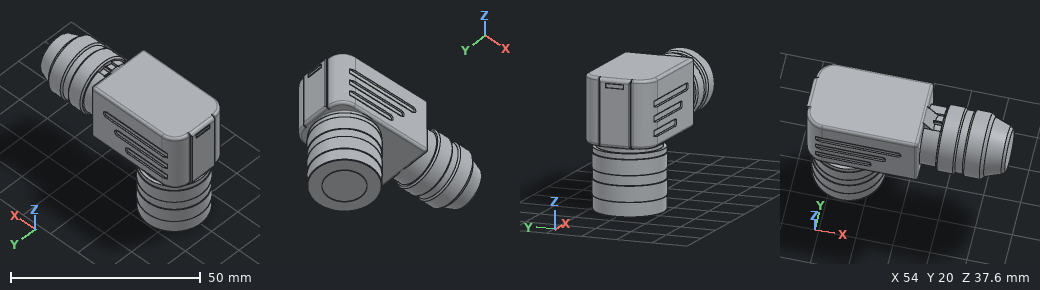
import cadquery as cq
import math


housing_width = 20.0
housing_height = 18.75
housing_left = -10.1
housing_right = 20.8
corner_radius = 5.0
edge_fillet = 0.8

panel_left = -10.65
panel_half_width = 4.55
panel_top_fillet = 1.1
panel_bevel_width = 0.4
panel_bevel_depth = 0.15
window_width = 5.1
window_height = 1.15
window_center_z = 16.75
window_depth = 0.2

side_grooves = [(12.0, 16.25), (7.95, 12.15), (4.0, 8.25)]
groove_start = -8.0
groove_width = 2.0
groove_depth = 0.3
groove_flank = 0.25

plug_neck_diameter = 17.7
plug_neck_bottom = -1.5
plug_neck_fillet = 0.5
plug_minor_diameter = 19.7
plug_major_diameter = 20.0
plug_rings = [
    (plug_minor_diameter, -2.95),
    (plug_major_diameter, -7.45),
    (plug_minor_diameter, -10.1),
    (plug_major_diameter, -14.7),
    (plug_minor_diameter, -18.7),
]
plug_ring_chamfer = (plug_major_diameter - plug_minor_diameter) / 2
plug_face_diameter = 11.9
plug_bottom = -18.85
plug_rim_chamfer = 0.15

gland_neck_radius = 8.05
gland_axis_z = gland_neck_radius
gland_radius = 18.0 / 2
gland_groove_radius = 17.0 / 2
gland_chamfer = gland_radius - gland_groove_radius
gland_start = 25.3
gland_groove_start = 30.0 + gland_chamfer
gland_groove_end = 32.5
gland_shoulder_start = 37.2
gland_cone_start = 38.2
gland_cone_end = 42.55
gland_end = 43.35
gland_cone_end_radius = 6.55
gland_end_radius = 5.8

channel_width = window_width
channel_floor_radius = 7.3
ramp_slope = math.radians(50)
rib_top_radius = 7.8
rib_base_width = 1.1
rib_top_width = 0.3


def centered_box(x_min, x_max, y_width, z_min, z_max):
    """Box given by its X and Z limits, centred on Y = 0."""
    size = (x_max - x_min, y_width, z_max - z_min)
    return cq.Workplane("XY").box(*size, centered=(False, True, False)).translate((x_min, 0, z_min))


def housing():
    block = centered_box(housing_left, housing_right, housing_width, 0, housing_height)
    block = block.edges("|Z and <X").fillet(corner_radius)
    block = block.edges("|Z and >X").fillet(edge_fillet)
    return block.faces("<Z or >Z").edges().fillet(edge_fillet)


def end_panel():
    inner_half_width = panel_half_width - panel_bevel_width
    bevel_x = panel_left + panel_bevel_depth
    outline = [
        (0, -panel_half_width),
        (bevel_x, -panel_half_width),
        (panel_left, -inner_half_width),
        (panel_left, inner_half_width),
        (bevel_x, panel_half_width),
        (0, panel_half_width),
    ]
    panel = cq.Workplane("XY").polyline(outline).close().extrude(housing_height)
    side_shape = centered_box(panel_left, 0, housing_width, 0, housing_height)
    side_shape = side_shape.edges("<X and >Z").fillet(panel_top_fillet)
    side_shape = side_shape.edges("<X and <Z").fillet(edge_fillet)
    window = centered_box(
        panel_left,
        panel_left + window_depth,
        window_width,
        window_center_z - window_height / 2,
        window_center_z + window_height / 2,
    )
    return panel.intersect(side_shape).cut(window)


def side_groove(center_z, right_end):
    """Groove in the -Y side wall, rounded at the right end, with sloping flanks."""
    radius = groove_width / 2
    outline = (
        cq.Workplane("XZ", origin=(0, -housing_width / 2, 0))
        .moveTo(groove_start, center_z - radius)
        .lineTo(right_end - radius, center_z - radius)
        .threePointArc((right_end, center_z), (right_end - radius, center_z + radius))
        .lineTo(groove_start, center_z + radius)
        .close()
    )
    flank_angle = math.degrees(math.atan2(groove_flank, groove_depth))
    return outline.extrude(-groove_depth, taper=flank_angle)


def plug():
    neck_radius = plug_neck_diameter / 2
    arc_offset = plug_neck_fillet * (1 - math.sqrt(0.5))
    profile = (
        cq.Workplane("XZ")
        .moveTo(0, edge_fillet)
        .lineTo(neck_radius, edge_fillet)
        .lineTo(neck_radius + plug_neck_fillet, 0)
        .threePointArc(
            (neck_radius + arc_offset, -arc_offset),
            (neck_radius, -plug_neck_fillet),
        )
        .lineTo(neck_radius, plug_neck_bottom)
        .lineTo(0, plug_neck_bottom)
        .close()
    )
    body = profile.revolve(360, (0, 0, 0), (0, 1, 0))
    top = plug_neck_bottom
    for diameter, bottom in plug_rings:
        ring = cq.Workplane("XY", origin=(0, 0, bottom)).circle(diameter / 2).extrude(top - bottom)
        if diameter == plug_major_diameter:
            ring = ring.edges().chamfer(plug_ring_chamfer)
        body = body.union(ring)
        top = bottom
    body = body.faces("<Z").edges().chamfer(plug_rim_chamfer)
    face = cq.Workplane("XY", origin=(0, 0, plug_bottom)).circle(plug_face_diameter / 2)
    return body.union(face.extrude(top - plug_bottom))


def gland():
    inner_end = housing_right - edge_fillet
    outline = [
        (inner_end, 0),
        (inner_end, gland_neck_radius),
        (gland_start, gland_neck_radius),
        (gland_start, gland_groove_radius),
        (gland_start + gland_chamfer, gland_radius),
        (gland_groove_start - gland_chamfer, gland_radius),
        (gland_groove_start, gland_groove_radius),
        (gland_groove_end, gland_groove_radius),
        (gland_groove_end + gland_chamfer, gland_radius),
        (gland_shoulder_start, gland_radius),
        (gland_cone_start, gland_neck_radius),
        (gland_cone_end, gland_cone_end_radius),
        (gland_end, gland_end_radius),
        (gland_end, 0),
    ]
    profile = cq.Workplane("XZ", origin=(0, 0, gland_axis_z)).polyline(outline).close()
    return profile.revolve(360, (0, 0, 0), (1, 0, 0))


def latch_channel():
    """Volume removed from the gland neck between the housing and the gland rings."""
    strip = centered_box(housing_right, gland_start, channel_width, gland_axis_z, housing_height)
    core = cq.Workplane("YZ", origin=(0, 0, gland_axis_z)).circle(channel_floor_radius).extrude(gland_start)
    return strip.cut(core)


def latch_ramp():
    """Wedge tangent to the top fillet of the housing end wall, running down into the channel floor."""
    top_x = housing_right - edge_fillet * (1 - math.sin(ramp_slope))
    top_z = housing_height - edge_fillet * (1 - math.cos(ramp_slope))
    bottom_z = gland_axis_z
    bottom_x = top_x + (top_z - bottom_z) / math.tan(ramp_slope)
    outline = [(top_x, top_z), (bottom_x, bottom_z), (top_x, bottom_z)]
    return cq.Workplane("XZ").polyline(outline).close().extrude(channel_width / 2, both=True)


def latch_rib():
    """Tapered rib along the middle of the channel floor."""
    outline = [
        (-rib_base_width / 2, 0),
        (rib_base_width / 2, 0),
        (rib_base_width / 2, channel_floor_radius),
        (rib_top_width / 2, rib_top_radius),
        (-rib_top_width / 2, rib_top_radius),
        (-rib_base_width / 2, channel_floor_radius),
    ]
    profile = cq.Workplane("YZ", origin=(housing_right, 0, gland_axis_z)).polyline(outline).close()
    return profile.extrude(gland_start - housing_right)


shell = housing().union(end_panel())
for groove_z, groove_end in side_grooves:
    groove = side_groove(groove_z, groove_end)
    shell = shell.cut(groove).cut(groove.mirror("XZ"))

cable_outlet = gland().cut(latch_channel()).union(latch_rib()).union(latch_ramp())
result = shell.union(cable_outlet).union(plug())